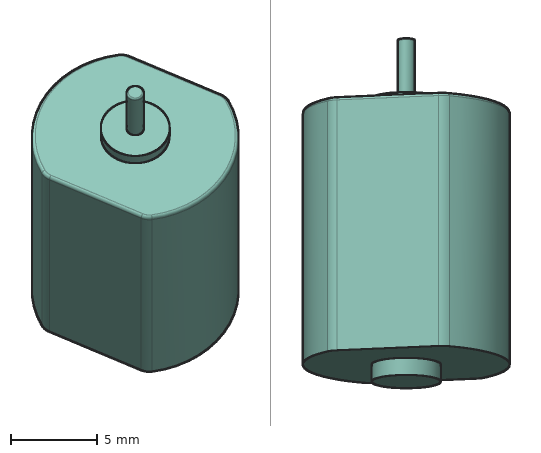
import cadquery as cq

can_diameter = 12.0
can_across_flats = 10.0
can_height = 14.99
flat_corner_radius = 1.0
can_rim_radius = 0.2

boss_diameter = 4.0
top_boss_height = 0.7
bottom_boss_height = 1.0

shaft_diameter = 1.0
shaft_length = 3.5
shaft_tip_radius = 0.1


def make_can():
    """Flattened cylinder with rounded flat corners and a rounded top rim."""
    cylinder = cq.Workplane("XY").circle(can_diameter / 2).extrude(can_height)
    flats = cq.Workplane("XY").rect(2 * can_diameter, can_across_flats).extrude(can_height)
    can = cylinder.intersect(flats)
    corners = can.edges("|Z").edges(">Y or <Y")
    can = corners.fillet(flat_corner_radius)
    return can.faces(">Z").edges().fillet(can_rim_radius)


def make_shaft():
    """Shaft standing on the top of the can, with a rounded tip."""
    shaft = (
        cq.Workplane("XY", origin=(0, 0, can_height))
        .circle(shaft_diameter / 2)
        .extrude(top_boss_height + shaft_length)
    )
    return shaft.faces(">Z").edges().fillet(shaft_tip_radius)


def make_boss(base_z, height):
    """Round boss starting at base_z."""
    return cq.Workplane("XY", origin=(0, 0, base_z)).circle(boss_diameter / 2).extrude(height)


result = (
    make_can()
    .union(make_boss(can_height, top_boss_height))
    .union(make_boss(-bottom_boss_height, bottom_boss_height))
    .union(make_shaft())
)